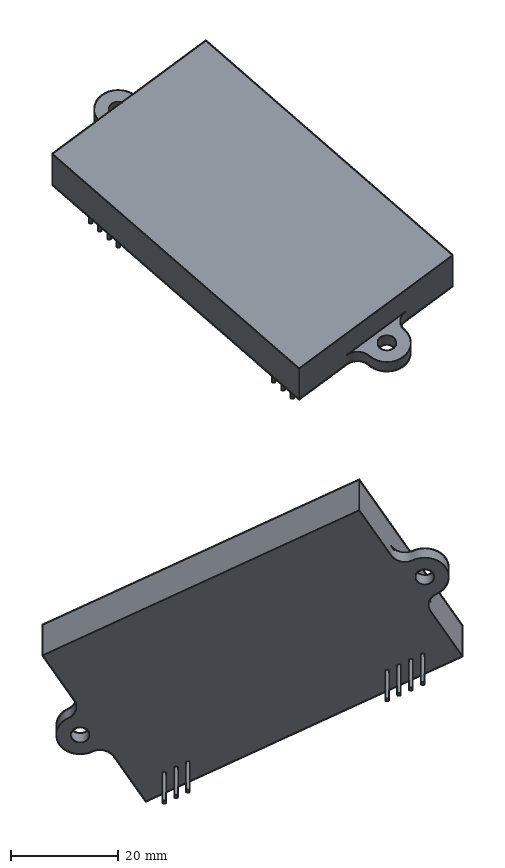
import cadquery as cq

overall_length = 83.0
body_length = 68.1
body_width = 39.0
body_height = 9.7

ear_radius = 4.5
ear_thickness = 3.0
ear_hole_diameter = 3.5
ear_center_x = overall_length / 2 - ear_radius
ear_fillet = ear_center_x - body_length / 2

pin_diameter = 0.75
pin_length = 9.0
pin_row_y = -15.5
left_pin_count = 4
right_pin_count = 3
left_first_pin_x = -27.7
right_last_pin_x = 27.8
left_row_span = 7.6
pin_pitch = left_row_span / (left_pin_count - 1)


def make_ear(side):
    """Rounded ear with concave flares into the body; side is -1 or +1 along X."""
    root_x = side * body_length / 2
    center_x = side * ear_center_x
    tip_x = side * overall_length / 2
    root_y = ear_radius + ear_fillet
    arc_offset = ear_fillet * 0.5 ** 0.5
    flare_x = center_x - side * arc_offset
    flare_y = root_y - arc_offset
    return (
        cq.Workplane("XY")
        .moveTo(root_x, -root_y)
        .threePointArc((flare_x, -flare_y), (center_x, -ear_radius))
        .threePointArc((tip_x, 0), (center_x, ear_radius))
        .threePointArc((flare_x, flare_y), (root_x, root_y))
        .close()
        .extrude(ear_thickness)
        .cut(cq.Workplane("XY").center(center_x, 0).circle(ear_hole_diameter / 2).extrude(ear_thickness))
    )


def make_pins(x_positions):
    """Round pins hanging down from the underside."""
    return (
        cq.Workplane("XY")
        .pushPoints([(x, pin_row_y) for x in x_positions])
        .circle(pin_diameter / 2)
        .extrude(-pin_length)
    )


body = cq.Workplane("XY").box(body_length, body_width, body_height, centered=(True, True, False))
left_pins_x = [left_first_pin_x + i * pin_pitch for i in range(left_pin_count)]
right_pins_x = [right_last_pin_x - i * pin_pitch for i in range(right_pin_count)]

result = body.union(make_ear(-1)).union(make_ear(1)).union(make_pins(left_pins_x + right_pins_x))